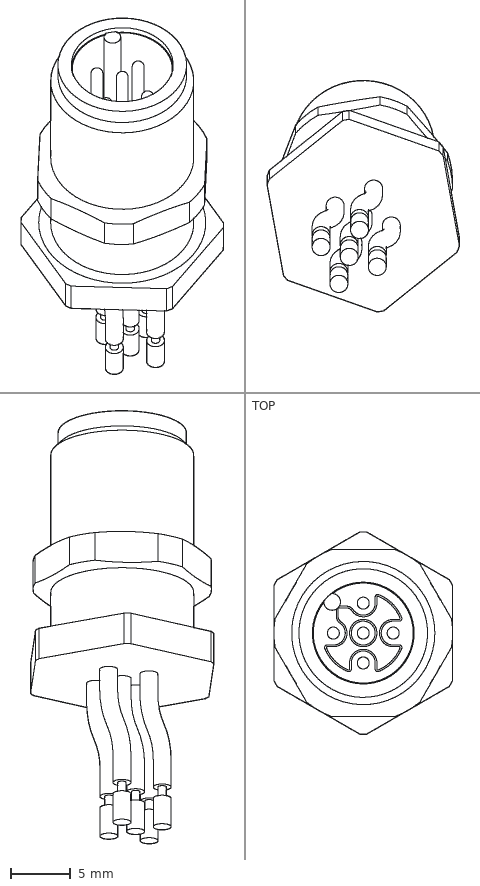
import cadquery as cq
import math

TOTAL_HEIGHT = 35.85
FLANGE_BOTTOM = 13.87
FLANGE_TOP = 16.6
NUT_BOTTOM = 21.58
NUT_TOP = 24.55

SHELL_DIA = 12.0
NOSE_DIA = 10.8
NOSE_LENGTH = 1.35
MOUTH_DIA = 8.55
MOUTH_DEPTH = 0.55
BORE_DIA = 8.4
BORE_DEPTH = 9.32
BORE_FLOOR_FILLET = 0.32

FLANGE_ACROSS_FLATS = 15.0
FLANGE_CORNER_DIA = 17.0
SEAL_DIA = 14.0
SEAL_CROWN = 0.15

NUT_ACROSS_FLATS = 14.0
NUT_CORNER_DIA = 15.0
NUT_FACE_DIA = 13.35
NUT_CHAMFER_HEIGHT = 0.25

PIN_DIA = 1.0
PIN_PITCH = 2.5
OUTER_PIN_TOP = 33.85
CENTRE_PIN_TOP = 34.8
RELIEF_DEPTH = 0.35
RELIEF_DIA = 6.95
RELIEF_DRAFT = 0.15
PIN_ISLAND_DIA = 2.0
RELIEF_KEY_REACH = 2.25
RELIEF_KEY_FILLET = 0.7
RELIEF_CORNER_FILLET = 0.2

KEY_DIA = 1.4
KEY_CENTRE_RADIUS = 3.7
KEY_ANGLE = 135
KEY_TOP = 35.42

WIRE_DIA = 1.5
WIRE_CORE_DIA = 0.7
WIRE_OFFSET = 1.25
BEND_TOP = 12.08
BEND_BOTTOM = 6.02
STRIP_TOP = 3.55
STRIP_BOTTOM = 2.55

BORE_FLOOR = TOTAL_HEIGHT - BORE_DEPTH
OUTER_PINS = [(PIN_PITCH, 0), (0, PIN_PITCH), (-PIN_PITCH, 0), (0, -PIN_PITCH)]
RELIEF_FLOOR = BORE_FLOOR - RELIEF_DEPTH
RELIEF_TAPER = math.degrees(math.atan(RELIEF_DRAFT / RELIEF_DEPTH))


def cylinder(diameter, bottom, top, centre=(0, 0)):
    """Upright cylinder between two heights."""
    base = cq.Workplane("XY").workplane(offset=bottom).center(*centre)
    return base.circle(diameter / 2).extrude(top - bottom)


def hexagon(across_flats, bottom, top, turn):
    """Upright hexagonal prism; with no turn its corners lie on the X axis."""
    corner_dia = across_flats / math.cos(math.radians(30))
    prism = cq.Workplane("XY").workplane(offset=bottom).polygon(6, corner_dia).extrude(top - bottom)
    return prism.rotate((0, 0, 0), (0, 0, 1), turn)


def make_shell():
    chamfer = (SHELL_DIA - NOSE_DIA) / 2
    nose_bottom = TOTAL_HEIGHT - NOSE_LENGTH
    body = cylinder(SHELL_DIA, FLANGE_BOTTOM, nose_bottom).faces(">Z").chamfer(chamfer)
    body = body.union(cylinder(NOSE_DIA, nose_bottom, TOTAL_HEIGHT))
    bore = cylinder(BORE_DIA, BORE_FLOOR, TOTAL_HEIGHT).faces("<Z").edges().fillet(BORE_FLOOR_FILLET)
    mouth = cylinder(MOUTH_DIA, TOTAL_HEIGHT - MOUTH_DEPTH, TOTAL_HEIGHT)
    return body.cut(bore).cut(mouth)


def make_flange():
    corners = cylinder(FLANGE_CORNER_DIA, FLANGE_BOTTOM, FLANGE_TOP)
    flange = hexagon(FLANGE_ACROSS_FLATS, FLANGE_BOTTOM, FLANGE_TOP, 30).intersect(corners)
    inner = SHELL_DIA / 2
    outer = SEAL_DIA / 2
    seal = (
        cq.Workplane("XZ")
        .moveTo(inner, FLANGE_BOTTOM)
        .lineTo(outer, FLANGE_BOTTOM)
        .lineTo(outer, FLANGE_TOP)
        .threePointArc(((inner + outer) / 2, FLANGE_TOP + SEAL_CROWN), (inner, FLANGE_TOP))
        .close()
        .revolve(360, (0, 0, 0), (0, 1, 0))
    )
    return flange.union(seal)


def make_nut():
    face = NUT_FACE_DIA / 2
    corner = NUT_CORNER_DIA / 2
    profile = [
        (0, NUT_BOTTOM),
        (face, NUT_BOTTOM),
        (corner, NUT_BOTTOM + NUT_CHAMFER_HEIGHT),
        (corner, NUT_TOP - NUT_CHAMFER_HEIGHT),
        (face, NUT_TOP),
        (0, NUT_TOP),
    ]
    turned = cq.Workplane("XZ").polyline(profile).close().revolve(360, (0, 0, 0), (0, 1, 0))
    return hexagon(NUT_ACROSS_FLATS, NUT_BOTTOM, NUT_TOP, 0).intersect(turned)


def fillet_corners(prism, points, radius):
    """Round the upright edges of a prism that stand at the given places."""
    for x, y in points:
        corner = cq.selectors.NearestToPointSelector((x, y, BORE_FLOOR + RELIEF_DEPTH / 2))
        prism = prism.edges("|Z").edges(corner).fillet(radius)
    return prism


def make_relief_plan():
    """Straight-sided prism on the bore floor whose outline is the rim of the relief."""
    rim = RELIEF_DIA / 2
    island = PIN_ISLAND_DIA / 2
    reach = RELIEF_KEY_REACH
    floor = cq.Workplane("XY").workplane(offset=BORE_FLOOR)

    plan = floor.circle(rim).extrude(RELIEF_DEPTH)
    plan = plan.cut(floor.rect(-rim, rim, centered=False).extrude(RELIEF_DEPTH))
    plan = plan.union(floor.rect(-reach, reach, centered=False).extrude(RELIEF_DEPTH))

    pin_strip = floor.center(PIN_PITCH, 0).circle(island).extrude(RELIEF_DEPTH)
    pin_strip = pin_strip.union(
        floor.center(PIN_PITCH, -island).rect(rim, PIN_ISLAND_DIA, centered=False).extrude(RELIEF_DEPTH)
    )
    for turn in (0, 90, 180, 270):
        plan = plan.cut(pin_strip.rotate((0, 0, 0), (0, 0, 1), turn))

    along = math.sqrt(rim**2 - island**2)
    rim_corners = [
        (island, along),
        (along, island),
        (along, -island),
        (island, -along),
        (-island, -along),
        (-along, -island),
    ]
    across = math.sqrt(island**2 - (PIN_PITCH - reach) ** 2)
    key_corners = [(-across, reach), (-reach, across)]
    plan = fillet_corners(plan, rim_corners, RELIEF_CORNER_FILLET)
    return fillet_corners(plan, key_corners, RELIEF_KEY_FILLET)


def make_relief():
    """Recess between the pins, with sloping walls, around a tapered island at the centre pin."""
    outline = make_relief_plan().faces("<Z").wires().val()
    recess = cq.Workplane("XY").add(outline).toPending().extrude(-RELIEF_DEPTH, taper=RELIEF_TAPER)
    base_radius = PIN_ISLAND_DIA / 2 + RELIEF_DRAFT
    island_base = cq.Workplane("XY").workplane(offset=RELIEF_FLOOR).circle(base_radius)
    return recess.cut(island_base.extrude(RELIEF_DEPTH, taper=RELIEF_TAPER))


def make_pin(centre, top):
    shoulder = top - PIN_DIA / 2
    dome = cq.Workplane("XY").sphere(PIN_DIA / 2).translate((*centre, shoulder))
    return cylinder(PIN_DIA, RELIEF_FLOOR, shoulder, centre).union(dome)


def make_key():
    angle = math.radians(KEY_ANGLE)
    centre = (KEY_CENTRE_RADIUS * math.cos(angle), KEY_CENTRE_RADIUS * math.sin(angle))
    return cylinder(KEY_DIA, RELIEF_FLOOR, KEY_TOP, centre)


def make_wire():
    """One wire that leaves the flange on the Z axis."""
    half_drop = (BEND_TOP - BEND_BOTTOM) / 2
    half_offset = WIRE_OFFSET / 2
    bend_angle = 2 * math.atan(half_offset / half_drop)
    bend_radius = half_drop / math.sin(bend_angle)
    arc_drop = bend_radius * math.sin(bend_angle / 2)
    arc_offset = bend_radius * (1 - math.cos(bend_angle / 2))
    path = (
        cq.Workplane("YZ")
        .moveTo(0, FLANGE_BOTTOM)
        .lineTo(0, BEND_TOP)
        .threePointArc((arc_offset, BEND_TOP - arc_drop), (half_offset, BEND_TOP - half_drop))
        .threePointArc((WIRE_OFFSET - arc_offset, BEND_BOTTOM + arc_drop), (WIRE_OFFSET, BEND_BOTTOM))
        .lineTo(WIRE_OFFSET, STRIP_TOP)
    )
    lead = cq.Workplane("XY").workplane(offset=FLANGE_BOTTOM).circle(WIRE_DIA / 2).sweep(path)
    tip_centre = (0, WIRE_OFFSET)
    core = cylinder(WIRE_CORE_DIA, STRIP_BOTTOM, STRIP_TOP, tip_centre)
    tip = cylinder(WIRE_DIA, 0, STRIP_BOTTOM, tip_centre)
    return lead.union(core).union(tip)


result = make_shell().union(make_flange()).union(make_nut())
result = result.cut(make_relief()).union(make_key())
result = result.union(make_pin((0, 0), CENTRE_PIN_TOP))
for place in OUTER_PINS:
    result = result.union(make_pin(place, OUTER_PIN_TOP))

wire = make_wire()
for x, y in [(0, 0)] + OUTER_PINS:
    result = result.union(wire.translate((x, y, 0)))